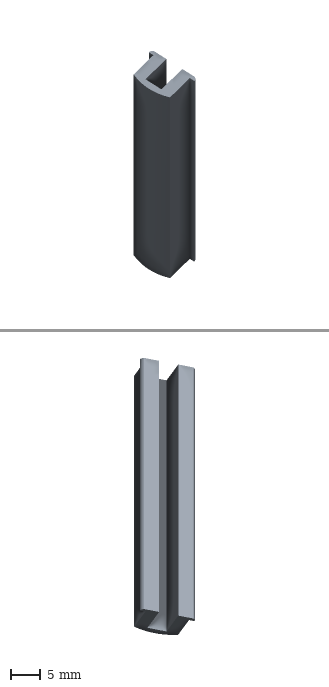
import cadquery as cq
import math

length = 50.0
flange_width = 10.0
depth = 6.95

body_width = 8.0
crown_height = 0.8
slot_width = 3.5
slot_depth = 5.7

lip_thickness = 0.75
lip_inset = 0.5

half_flange = flange_width / 2
half_body = body_width / 2
half_slot = slot_width / 2
half_back = half_flange - lip_inset
back = depth / 2
front = -depth / 2
shoulder = front + crown_height
lip_front = back - lip_thickness
slot_floor = back - slot_depth

lip_radius = (lip_thickness**2 + lip_inset**2) / (2 * lip_inset)
half_sweep = math.asin(lip_thickness / lip_radius) / 2
lip_mid_x = half_flange - lip_radius * (1 - math.cos(half_sweep))
lip_mid_y = lip_front + lip_radius * math.sin(half_sweep)

profile = (
    cq.Workplane("XY")
    .moveTo(-half_body, shoulder)
    .threePointArc((0, front), (half_body, shoulder))
    .lineTo(half_body, lip_front)
    .lineTo(half_flange, lip_front)
    .threePointArc((lip_mid_x, lip_mid_y), (half_back, back))
    .lineTo(half_slot, back)
    .lineTo(half_slot, slot_floor)
    .lineTo(-half_slot, slot_floor)
    .lineTo(-half_slot, back)
    .lineTo(-half_back, back)
    .threePointArc((-lip_mid_x, lip_mid_y), (-half_flange, lip_front))
    .lineTo(-half_body, lip_front)
    .close()
)

result = profile.extrude(length)